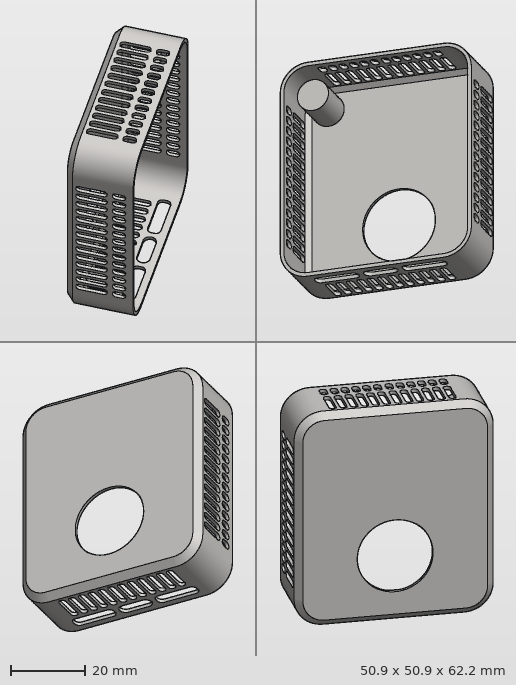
import cadquery as cq

height = 62.2
width = 55.0
depth = 19.0
corner_radius = 7.95
front_chamfer = 2.0
wall = 1.05

window_diameter = 20.9
window_z = -12.1

slot_width = 2.0
slot_pitch = 3.0
long_slot_length = 8.7
short_slot_length = 3.7
back_margin = 2.1
row_gap = 1.5
side_slot_count = 14
end_slot_count = 12
top_right_shift = 0.25

bottom_middle_length = 9.7
bottom_rib = 1.55
bottom_outer_end = 18.85
bottom_outer_corner = 1.35

post_diameter = 8.95
post_inset = 7.3
post_end = 13.2

turn_about_z = -45.0

short_row_y = depth - back_margin - short_slot_length / 2
long_row_y = depth - back_margin - short_slot_length - row_gap - long_slot_length / 2
wall_cut = 2 * wall
slot_rows = [(short_row_y, short_slot_length), (long_row_y, long_slot_length)]


def centred_positions(count):
    """Slot centres at the common pitch, symmetric about zero."""
    return [(i - (count - 1) / 2) * slot_pitch for i in range(count)]


side_positions = centred_positions(side_slot_count)
bottom_positions = centred_positions(end_slot_count)
top_positions = [x + top_right_shift if x > 0 else x for x in bottom_positions]


def make_shell():
    """Rounded box with a chamfered front edge, hollowed from its open back."""
    body = (
        cq.Workplane("XY")
        .box(width, depth, height, centered=(True, False, True))
        .edges("|Y")
        .fillet(corner_radius)
        .faces("<Y")
        .chamfer(front_chamfer)
    )
    return body.faces(">Y").shell(-wall)


def make_window():
    """Cutter for the round window through the front wall."""
    return (
        cq.Workplane("XZ", origin=(0, 0, window_z))
        .circle(window_diameter / 2)
        .extrude(wall_cut, both=True)
    )


def side_slots():
    """Both slot rows, cut straight through the left and right walls."""
    slots = cq.Workplane("YZ")
    for y, length in slot_rows:
        row = (
            cq.Workplane("YZ")
            .pushPoints([(y, z) for z in side_positions])
            .slot2D(length, slot_width)
            .extrude(width, both=True)
        )
        slots = slots.add(row)
    return slots.combine()


def end_slot_row(wall_z, x_positions, y, length):
    """One row of slots through the end wall at wall_z."""
    return (
        cq.Workplane("XY", origin=(0, 0, wall_z))
        .pushPoints([(x, y) for x in x_positions])
        .slot2D(length, slot_width, 90)
        .extrude(wall_cut, both=True)
    )


def bottom_wide_slots():
    """One round-ended slot in the middle and a wide slot with rounded corners on either side."""
    base = cq.Workplane("XY", origin=(0, short_row_y, -height / 2))
    middle = base.slot2D(bottom_middle_length, short_slot_length).extrude(wall_cut, both=True)
    outer_start = bottom_middle_length / 2 + bottom_rib
    outer_length = bottom_outer_end - outer_start
    outer_x = outer_start + outer_length / 2
    outer = (
        base.pushPoints([(-outer_x, 0), (outer_x, 0)])
        .rect(outer_length, short_slot_length)
        .extrude(wall_cut, both=True)
        .edges("|Z")
        .fillet(bottom_outer_corner)
    )
    return middle.add(outer).combine()


def make_post():
    """Solid round post growing backward out of the front wall."""
    return (
        cq.Workplane("XZ", origin=(width / 2 - post_inset, post_end, height / 2 - post_inset))
        .circle(post_diameter / 2)
        .extrude(post_end - wall / 2)
    )


case = make_shell().cut(make_window()).cut(side_slots())
for y, length in slot_rows:
    case = case.cut(end_slot_row(height / 2, top_positions, y, length))
case = case.cut(end_slot_row(-height / 2, bottom_positions, long_row_y, long_slot_length))
case = case.cut(bottom_wide_slots()).union(make_post())

result = case.rotate((0, 0, 0), (0, 0, 1), turn_about_z)